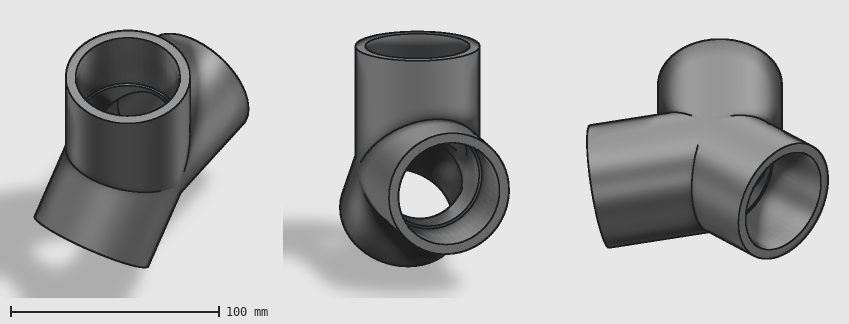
import cadquery as cq
import math

overall_size = 111.2
outer_diameter = 59.7
socket_diameter = 50.1
bore_diameter = 47.5
socket_depth = 33.0

straight_length = 59.0
angled_length = (overall_size - straight_length) * math.sqrt(2) - outer_diameter / 2

branches = [
    (cq.Vector(0, 0, 1), straight_length),
    (cq.Vector(0, 1, 0), straight_length),
    (cq.Vector(0, -1, -1).normalized(), angled_length),
]


def branch_cylinder(axis, start, end, diameter):
    """Cylinder along a branch axis, between two distances from the origin."""
    solid = cq.Solid.makeCylinder(diameter / 2, end - start, axis * start, axis)
    return cq.Workplane(obj=solid)


def joined_branches(diameter):
    """Cylinders of one diameter along all branches, meeting in mitred seams."""
    joined = cq.Workplane()
    for axis, length in branches:
        joined = joined.union(branch_cylinder(axis, 0, length, diameter))
    return joined


result = joined_branches(outer_diameter).cut(joined_branches(bore_diameter))

for axis, length in branches:
    socket = branch_cylinder(axis, length - socket_depth, length, socket_diameter)
    result = result.cut(socket)